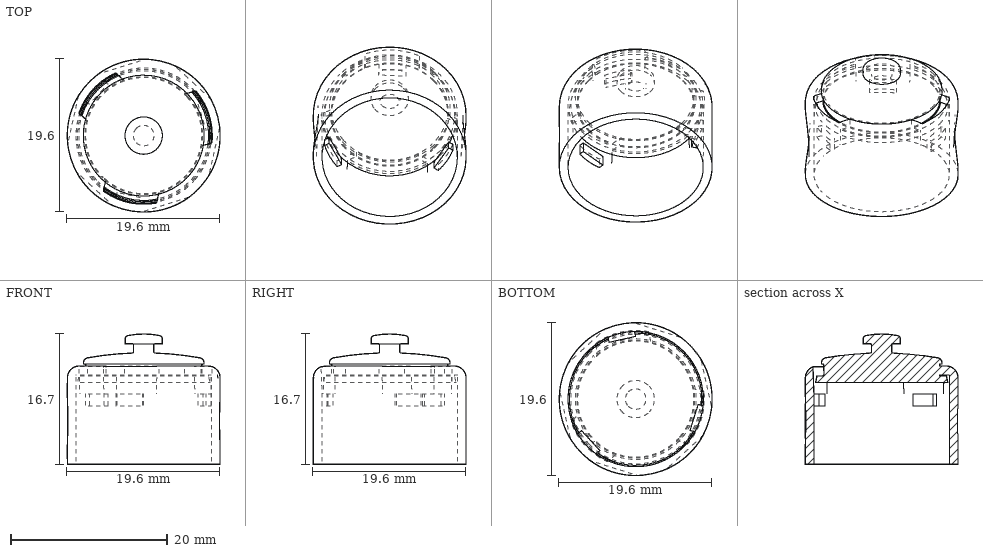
import cadquery as cq
import math

shell_radius = 9.8
shell_height = 12.6
shoulder_radius = 1.55
cavity_radius = 8.66
roof_underside = 11.4

total_height = 16.7
knob_radius = 2.4
knob_crown_radius = 2.0
knob_underside = 15.4
knob_shoulder_height = 16.01
knob_crown_edge = 16.5
stem_radius = 1.31
corner_fillet = 0.1
lid_radius = 7.75
lid_underside = 12.82
lid_rim_height = 0.1
lid_dome_radius = 7.11
lid_dome_edge = 13.66
lid_dome_top = 14.29
neck_radius = 7.45
flange_radius = 8.49
flange_top_radius = 8.31
flange_top = 11.33
flange_thickness = 0.86

first_window_angle = 17.4
window_count = 3
dimple_count = 6
first_dimple_angle = first_window_angle + 180 / dimple_count

window_width = 6.98
window_radius = 8.8
window_corner_fillet = 0.14
lug_width = window_width / 2
lug_inner_radius = 7.84
lug_top = 9.02
lug_height = 1.57

dimple_length = 9.56
dimple_width = 6.39
dimple_edge_fillet = 0.49
dimple_height = (shell_height - shoulder_radius) / 2


def arc_radius(half_chord, rise):
    """Radius of the arc that rises by a given amount over half its chord."""
    return (half_chord**2 + rise**2) / (2 * rise)


def cylinder(radius, bottom, top):
    """Upright cylinder about Z between two heights."""
    return cq.Workplane("XY").workplane(offset=bottom).circle(radius).extrude(top - bottom)


def radial_block(inner, outer, width, bottom, top):
    """Block along +X, centred on the XZ plane."""
    block = cq.Workplane("XY").box(outer - inner, width, top - bottom, centered=(False, True, False))
    return block.translate((inner, 0, bottom))


def turned(solid, angle):
    return solid.rotate((0, 0, 0), (0, 0, 1), angle)


def make_dimple_cutter():
    """Cylinder whose cut in the shell has the dimple's length and width."""
    flat_distance = math.sqrt(shell_radius**2 - (dimple_width / 2) ** 2)
    depth = shell_radius - flat_distance
    cutter_radius = arc_radius(dimple_length / 2, depth)
    cutter = cq.Workplane("XZ").circle(cutter_radius).extrude(shell_radius, both=True)
    return cutter.translate((flat_distance + cutter_radius, 0, dimple_height))


def make_shell():
    shell = cylinder(shell_radius, 0, shell_height)
    cutter = make_dimple_cutter()
    for i in range(dimple_count):
        shell = shell.cut(turned(cutter, first_dimple_angle + i * 360 / dimple_count))
    rims = cq.selectors.BoxSelector(
        (-2 * shell_radius, -2 * shell_radius, dimple_height - dimple_length / 4),
        (2 * shell_radius, 2 * shell_radius, dimple_height + dimple_length / 4),
    )
    shell = shell.edges(rims - cq.selectors.ParallelDirSelector(cq.Vector(0, 0, 1)))
    shell = shell.fillet(dimple_edge_fillet)
    shell = shell.faces(">Z").edges().fillet(shoulder_radius)
    return shell.cut(cylinder(cavity_radius, 0, roof_underside))


def make_window_cutter():
    """Parallel-sided window whose curved outer wall tapers inward down to the lug."""
    taper = (
        cq.Workplane("XZ")
        .moveTo(0, lug_top)
        .lineTo(cavity_radius, lug_top)
        .lineTo(window_radius, shell_height)
        .lineTo(0, shell_height)
        .close()
        .revolve(360, (0, 0, 0), (0, 1, 0))
    )
    opening = taper.intersect(radial_block(0, shell_radius, window_width, lug_top, shell_height))
    mid_height = (lug_top + shell_height) / 2
    corner_reach = (shell_height - lug_top) / 4
    corners = cq.selectors.BoxSelector(
        (window_radius / 2, -window_width, mid_height - corner_reach),
        (shell_radius, window_width, mid_height + corner_reach),
    )
    return opening.edges(corners).fillet(window_corner_fillet)


def make_lug():
    lug = radial_block(lug_inner_radius, shell_radius, lug_width, lug_top - lug_height, lug_top)
    wall_middle = (cavity_radius + window_radius) / 2
    return lug.intersect(cylinder(wall_middle, 0, shell_height))


def make_plug():
    bend = math.sqrt(0.5)
    lid_rim_top = lid_underside + lid_rim_height
    lid_rim_middle = (
        lid_dome_radius + (lid_radius - lid_dome_radius) * bend,
        lid_rim_top + (lid_dome_edge - lid_rim_top) * bend,
    )
    knob_rim_middle = (
        knob_crown_radius + (knob_radius - knob_crown_radius) * bend,
        knob_shoulder_height + (knob_crown_edge - knob_shoulder_height) * bend,
    )
    dome_curve = arc_radius(lid_dome_radius, lid_dome_top - lid_dome_edge)
    crown_curve = arc_radius(knob_crown_radius, total_height - knob_crown_edge)

    def dome_height(radius):
        return lid_dome_top - dome_curve + math.sqrt(dome_curve**2 - radius**2)

    stem_foot_radius = stem_radius + corner_fillet
    stem_foot = dome_height(stem_foot_radius)
    flange_bottom = flange_top - flange_thickness
    return (
        cq.Workplane("XZ")
        .moveTo(0, flange_bottom)
        .lineTo(flange_radius, flange_bottom)
        .lineTo(flange_top_radius, flange_top)
        .lineTo(neck_radius + corner_fillet, flange_top)
        .radiusArc((neck_radius, flange_top + corner_fillet), corner_fillet)
        .lineTo(neck_radius, lid_underside - corner_fillet)
        .radiusArc((neck_radius + corner_fillet, lid_underside), corner_fillet)
        .lineTo(lid_radius, lid_underside)
        .lineTo(lid_radius, lid_rim_top)
        .threePointArc(lid_rim_middle, (lid_dome_radius, lid_dome_edge))
        .radiusArc((stem_foot_radius, stem_foot), -dome_curve)
        .radiusArc((stem_radius, stem_foot + corner_fillet), corner_fillet)
        .lineTo(stem_radius, knob_underside - corner_fillet)
        .radiusArc((stem_foot_radius, knob_underside), corner_fillet)
        .lineTo(knob_radius, knob_underside)
        .lineTo(knob_radius, knob_shoulder_height)
        .threePointArc(knob_rim_middle, (knob_crown_radius, knob_crown_edge))
        .radiusArc((0, total_height), -crown_curve)
        .close()
        .revolve(360, (0, 0, 0), (0, 1, 0))
    )


result = make_shell()
window_cutter = make_window_cutter()
lug = make_lug()
for i in range(window_count):
    angle = first_window_angle + i * 360 / window_count
    result = result.cut(turned(window_cutter, angle))
    result = result.union(turned(lug, angle))
result = result.union(make_plug())